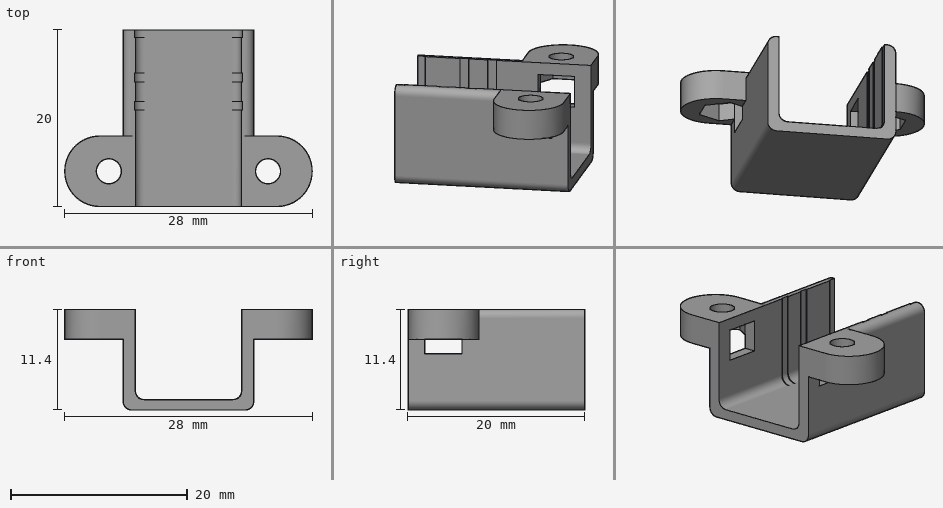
import cadquery as cq

length = 20.0
height = 11.4
inner_width = 12.0
wall = 1.4
floor = 1.2
corner_radius = 1.0
outer_width = inner_width + 2 * wall

trough_height = 11.0

lug_reach = 14.0
lug_width = 8.0
lug_thickness = 3.4
lug_radius = lug_width / 2
lug_y = lug_width / 2
lug_bottom = height - lug_thickness

hole_x = 9.0
hole_diameter = 2.8
nut_across_corners = 6.0
nut_pocket_bottom = 6.4
nut_pocket_height = 3.6

window_width = 4.2

groove_depth = 0.1
groove_width = 1.0
groove_starts = (10.9, 14.1, 19.1)


def channel_block():
    """Solid block of the channel, rounded along its four outer Y edges."""
    block = cq.Workplane("XY").box(outer_width, length, height, centered=(True, False, False))
    return block.edges("|Y").fillet(corner_radius)


def trough():
    """Space inside the channel, rounded along all four Y edges."""
    base = cq.Workplane("XY", origin=(0, 0, floor))
    space = base.box(inner_width, length, trough_height, centered=(True, False, False))
    return space.edges("|Y").fillet(corner_radius)


def groove_pair(start):
    """Wider slice of the trough with straight walls: one groove in each side wall."""
    base = cq.Workplane("XY", origin=(0, start, floor))
    grooved_width = inner_width + 2 * groove_depth
    space = base.box(grooved_width, groove_width, trough_height, centered=(True, False, False))
    return space.edges("|Y and <Z").fillet(corner_radius)


def lug(side):
    """Round-ended plate reaching from the inner wall face out to one side (-1 or +1)."""
    inner_x = side * inner_width / 2
    arc_x = side * (lug_reach - lug_radius)
    return (
        cq.Workplane("XY", origin=(0, 0, lug_bottom))
        .moveTo(inner_x, 0)
        .lineTo(arc_x, 0)
        .threePointArc((side * lug_reach, lug_y), (arc_x, lug_width))
        .lineTo(inner_x, lug_width)
        .close()
        .extrude(lug_thickness)
    )


def screw_hole(side):
    """Vertical hole through one lug."""
    base = cq.Workplane("XY", origin=(side * hole_x, lug_y, lug_bottom))
    return base.circle(hole_diameter / 2).extrude(lug_thickness)


def nut_pocket(side):
    """Hexagon open to the underside of one lug, with two corners pointing along Y."""
    base = cq.Workplane("XY", origin=(side * hole_x, lug_y, nut_pocket_bottom))
    base = base.transformed(rotate=(0, 0, 90))
    return base.polygon(6, nut_across_corners).extrude(nut_pocket_height)


def wall_window(side):
    """Rectangular opening through one side wall, as tall as the nut pocket."""
    window_x = side * (inner_width + wall) / 2
    base = cq.Workplane("XY", origin=(window_x, lug_y, nut_pocket_bottom))
    return base.rect(wall, window_width).extrude(nut_pocket_height)


result = channel_block()
for side in (-1, 1):
    result = result.union(lug(side))

result = result.cut(trough())
for groove_start in groove_starts:
    result = result.cut(groove_pair(groove_start))

for side in (-1, 1):
    result = result.cut(screw_hole(side)).cut(nut_pocket(side)).cut(wall_window(side))